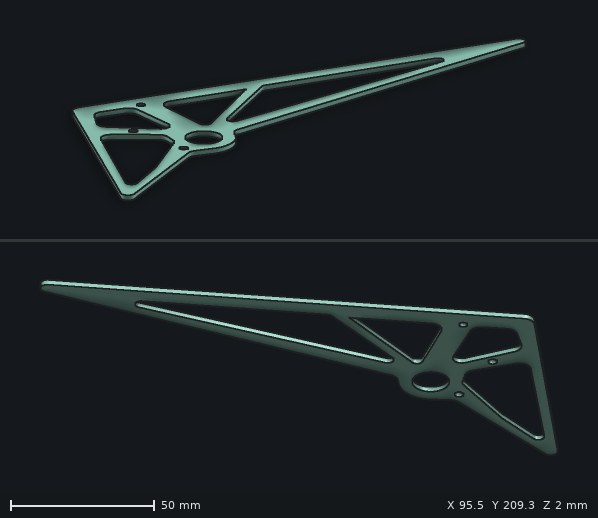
import cadquery as cq
import math

THICKNESS = 2.0
BORE_DIAMETER = 13.0
HUB_RADIUS = 12.0
TIP_RADIUS = 2.5
HEEL_RADIUS = 4.0
NECK_RADIUS = 4.0
POCKET_RADIUS = 2.0
WIDE_POCKET_RADIUS = 4.0
HEEL_POCKET_NOSE_RADIUS = 3.1
SHARP = 0

PLATE = [
    (-55.0, -0.2, HEEL_RADIUS),
    (46.0, 157.8, TIP_RADIUS),
    (5.0, 11.0, NECK_RADIUS),
    (15.0, 0.5, HUB_RADIUS),
    (3.8, -14.5, NECK_RADIUS),
    (12.0, -69.3, TIP_RADIUS),
]
LONG_ARM_POCKET = [
    (-11.3, 55.7, POCKET_RADIUS),
    (32.7, 124.8, POCKET_RADIUS),
    (-1.9, 12.8, POCKET_RADIUS),
]
MIDDLE_POCKET = [
    (-32.5, 21.0, WIDE_POCKET_RADIUS),
    (-14.2, 49.5, SHARP),
    (-4.8, 9.5, POCKET_RADIUS),
]
HEEL_POCKET = [
    (-45.8, 0.2, WIDE_POCKET_RADIUS),
    (-37.7, 12.5, WIDE_POCKET_RADIUS),
    (-11.3, 2.3, HEEL_POCKET_NOSE_RADIUS),
    (-37.3, -10.7, WIDE_POCKET_RADIUS),
]
SHORT_ARM_POCKET = [
    (-32.7, -17.4, WIDE_POCKET_RADIUS),
    (-13.2, -5.0, WIDE_POCKET_RADIUS),
    (-6.3, -9.0, POCKET_RADIUS),
    (2.3, -34.5, SHARP),
    (7.0, -58.8, POCKET_RADIUS),
]
POCKETS = [LONG_ARM_POCKET, MIDDLE_POCKET, HEEL_POCKET, SHORT_ARM_POCKET]

SMALL_HOLES = [
    (-36.5, 16.1, 3.0),
    (-24.3, -7.7, 3.1),
    (0, -13.0, 3.1),
]


def corner_arc(before, corner, after):
    """Return the start, middle and end of the arc that rounds one corner."""
    x, y, radius = corner
    vertex = cq.Vector(x, y)
    to_before = (cq.Vector(before[0], before[1]) - vertex).normalized()
    to_after = (cq.Vector(after[0], after[1]) - vertex).normalized()
    half_angle = to_before.getAngle(to_after) / 2
    setback = radius / math.tan(half_angle)
    bisector = (to_before + to_after).normalized()
    middle_distance = radius / math.sin(half_angle) - radius
    return (
        vertex + to_before * setback,
        vertex + bisector * middle_distance,
        vertex + to_after * setback,
    )


def rounded_prism(corners):
    """Extrude a polygon with rounded corners through the plate thickness."""
    count = len(corners)
    arcs = [
        corner_arc(corners[i - 1], corners[i], corners[(i + 1) % count])
        for i in range(count)
    ]
    outline = cq.Workplane("XY").moveTo(*arcs[0][2].toTuple()[:2])
    for corner, (start, middle, end) in zip(corners[1:] + corners[:1], arcs[1:] + arcs[:1]):
        outline = outline.lineTo(start.x, start.y)
        if corner[2] != SHARP:
            outline = outline.threePointArc((middle.x, middle.y), (end.x, end.y))
    return outline.close().extrude(THICKNESS)


def round_hole(x, y, diameter):
    """Return the cylinder that cuts a round hole through the plate."""
    return cq.Workplane("XY").center(x, y).circle(diameter / 2).extrude(THICKNESS)


result = rounded_prism(PLATE)

for pocket in POCKETS:
    result = result.cut(rounded_prism(pocket))

result = result.cut(round_hole(0, 0, BORE_DIAMETER))
for x, y, diameter in SMALL_HOLES:
    result = result.cut(round_hole(x, y, diameter))